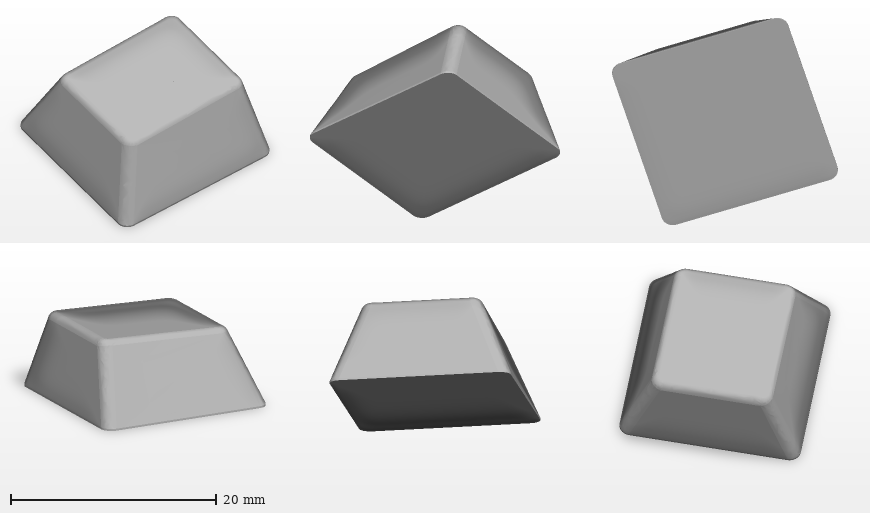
import cadquery as cq
import math

base_width = 17.95
base_depth = 18.01
rim_height = 0.2
corner_radius = 1.12

side_inset = 3.17
back_inset = 1.19
front_inset = 2.8
back_height = 8.25
front_height = 7.64
top_edge_radius = 0.8

legend_width = 3.82
legend_back_y = 6.99
legend_front_y = 2.23
legend_thickness = 0.2

top_back_y = base_depth / 2 - back_inset
top_front_y = front_inset - base_depth / 2
top_middle_y = (top_back_y + top_front_y) / 2
top_run = top_back_y - top_front_y
top_rise = back_height - front_height
top_width = base_width - 2 * side_inset
top_length = math.hypot(top_run, top_rise)
top_slope = top_rise / top_run


def top_height(y):
    """Height of the sloping top at a given y."""
    return front_height + (y - top_front_y) * top_slope


def top_plane(y):
    """Plane lying in the sloping top, its origin on the centre line at y."""
    return cq.Plane(
        origin=(0, y, top_height(y)),
        xDir=(1, 0, 0),
        normal=(0, -top_rise, top_run),
    )


def rounded_rectangle(width, depth):
    return cq.Sketch().rect(width, depth).vertices().fillet(corner_radius)


def make_legend():
    """Flat rectangular block, flush with the top of the cap."""
    length = (legend_back_y - legend_front_y) * top_length / top_run
    middle_y = (legend_back_y + legend_front_y) / 2
    face_outline = cq.Workplane(top_plane(middle_y)).rect(legend_width, length)
    return face_outline.extrude(-legend_thickness)


def make_rim():
    """Short straight-sided slab at the foot of the cap."""
    return cq.Workplane("XY").placeSketch(rounded_rectangle(base_width, base_depth)).extrude(rim_height)


def make_walls():
    """Tapering body from the rim to the sloping top, its top edge rounded."""
    rim_plane = cq.Plane(origin=(0, 0, rim_height))
    cap_plane = top_plane(top_middle_y)
    lower_outline = rounded_rectangle(base_width, base_depth).moved(rim_plane.location)
    upper_outline = rounded_rectangle(top_width, top_length).moved(cap_plane.location)
    walls = cq.Workplane("XY").placeSketch(lower_outline, upper_outline).loft(ruled=True)
    top_face = walls.faces(cq.NearestToPointSelector(cap_plane.origin.toTuple()))
    return top_face.edges().fillet(top_edge_radius)


def make_keycap(legend):
    """Whole cap, recessed for the legend."""
    return make_rim().union(make_walls()).cut(legend)


legend = make_legend()
keycap = make_keycap(legend)

result = cq.Compound.makeCompound([keycap.val(), legend.val()])